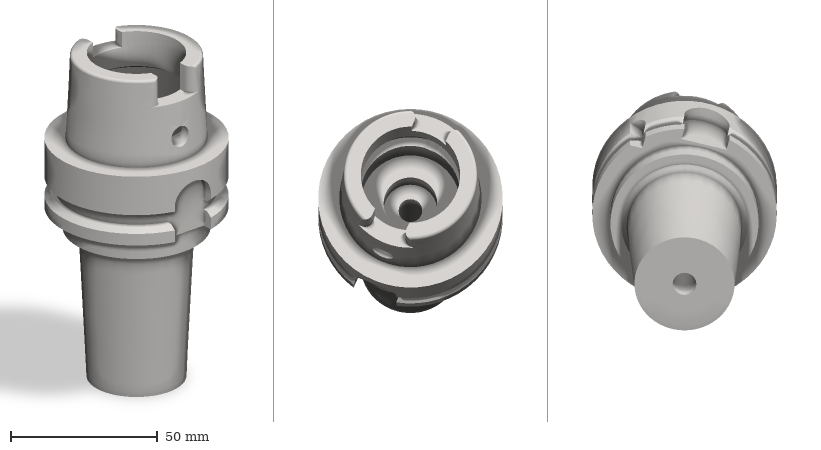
import cadquery as cq
import math

TOTAL_HEIGHT = 122.0
FLANGE_TOP = 90.0
FLANGE_BOTTOM = 64.0
GROOVE_TOP = 73.8
GROOVE_BOTTOM = 70.2
GROOVE_CHAMFER_HEIGHT = 1.7
COLLAR_BOTTOM = 56.0
NOSE_TOP = 53.8

FLANGE_RADIUS = 31.5
GROOVE_EDGE_RADIUS = 29.5
GROOVE_RADIUS = 27.6
COLLAR_RADIUS = 25.3
COLLAR_STEP_RADIUS = 21.6
NOSE_TOP_RADIUS = 19.8
NOSE_END_RADIUS = 17.1
SHANK_BASE_RADIUS = 24.3
SHANK_TAPER = 1 / 20
SHANK_TOP_RADIUS = SHANK_BASE_RADIUS - SHANK_TAPER * (TOTAL_HEIGHT - FLANGE_TOP)
SHANK_TOP_FILLET = 1.1

BORE_RADIUS = 17.0
BORE_LIP_BOTTOM = 108.8
UNDERCUT_RADIUS = 20.0
UNDERCUT_CONE_ANGLE = 30.0
UNDERCUT_CONE_HEIGHT = (UNDERCUT_RADIUS - BORE_RADIUS) * math.tan(math.radians(UNDERCUT_CONE_ANGLE))
UNDERCUT_CONE_BOTTOM = BORE_LIP_BOTTOM - UNDERCUT_CONE_HEIGHT
UNDERCUT_FLOOR = 95.9
BORE_FLOOR = 83.0
COUNTERBORE_RADIUS = 9.2
COUNTERBORE_FLOOR = 73.2
THROUGH_HOLE_RADIUS = 4.0

CROSS_HOLE_RADIUS = 3.8
CROSS_HOLE_HEIGHT = 99.1

DRIVE_SLOT_HALF_WIDTH = 6.3
DRIVE_CORNER_RADIUS = 2.7
DRIVE_SHOULDER = 20.9
LEFT_DRIVE_FLOOR = 116.1
RIGHT_DRIVE_FLOOR = 112.0

KEYWAY_RADIUS = 7.9
KEYWAY_ARC_HEIGHT = 77.2
KEYWAY_FLAT = 26.6
NOTCH_CORNER = 20.0

CLEARANCE = 36.6


def make_body():
    """Revolved outside of the holder, with a rounded shank rim."""
    outline = [
        (0, 0),
        (NOSE_END_RADIUS, 0),
        (NOSE_TOP_RADIUS, NOSE_TOP),
        (COLLAR_STEP_RADIUS, COLLAR_BOTTOM),
        (COLLAR_RADIUS, COLLAR_BOTTOM),
        (COLLAR_RADIUS, FLANGE_BOTTOM),
        (FLANGE_RADIUS, FLANGE_BOTTOM),
        (FLANGE_RADIUS, GROOVE_BOTTOM - GROOVE_CHAMFER_HEIGHT),
        (GROOVE_EDGE_RADIUS, GROOVE_BOTTOM),
        (GROOVE_RADIUS, GROOVE_BOTTOM),
        (GROOVE_RADIUS, GROOVE_TOP),
        (GROOVE_EDGE_RADIUS, GROOVE_TOP),
        (FLANGE_RADIUS, GROOVE_TOP + GROOVE_CHAMFER_HEIGHT),
        (FLANGE_RADIUS, FLANGE_TOP),
        (SHANK_BASE_RADIUS, FLANGE_TOP),
        (SHANK_TOP_RADIUS, TOTAL_HEIGHT),
        (0, TOTAL_HEIGHT),
    ]
    body = cq.Workplane("XZ").polyline(outline).close().revolve(360, (0, 0), (0, 1))
    return body.faces(">Z").edges().fillet(SHANK_TOP_FILLET)


def make_bore():
    """Stepped cavity: lip, undercut, counterbore and through hole."""
    outline = [
        (0, 0),
        (THROUGH_HOLE_RADIUS, 0),
        (THROUGH_HOLE_RADIUS, COUNTERBORE_FLOOR),
        (COUNTERBORE_RADIUS, COUNTERBORE_FLOOR),
        (COUNTERBORE_RADIUS, BORE_FLOOR),
        (BORE_RADIUS, BORE_FLOOR),
        (BORE_RADIUS, UNDERCUT_FLOOR),
        (UNDERCUT_RADIUS, UNDERCUT_FLOOR),
        (UNDERCUT_RADIUS, UNDERCUT_CONE_BOTTOM),
        (BORE_RADIUS, BORE_LIP_BOTTOM),
        (BORE_RADIUS, TOTAL_HEIGHT),
        (0, TOTAL_HEIGHT),
    ]
    return cq.Workplane("XZ").polyline(outline).close().revolve(360, (0, 0), (0, 1))


def make_cross_hole():
    """Cylinder along X through both shank walls."""
    hole = cq.Workplane("YZ").center(0, CROSS_HOLE_HEIGHT).circle(CROSS_HOLE_RADIUS)
    return hole.extrude(CLEARANCE, both=True)


def make_drive_slot(side, floor):
    """Slot in the rim on the given X side, flaring outward around rounded corners."""
    inner = DRIVE_SLOT_HALF_WIDTH
    outer = inner + DRIVE_CORNER_RADIUS
    arc_start = side * (DRIVE_SHOULDER - DRIVE_CORNER_RADIUS)
    shoulder = side * DRIVE_SHOULDER
    arc_offset = DRIVE_CORNER_RADIUS * math.sqrt(0.5)
    arc_mid = (arc_start + side * arc_offset, outer - arc_offset)
    return (
        cq.Workplane("XY", origin=(0, 0, floor))
        .moveTo(0, -inner)
        .lineTo(arc_start, -inner)
        .threePointArc((arc_mid[0], -arc_mid[1]), (shoulder, -outer))
        .lineTo(shoulder, -CLEARANCE)
        .lineTo(side * CLEARANCE, -CLEARANCE)
        .lineTo(side * CLEARANCE, CLEARANCE)
        .lineTo(shoulder, CLEARANCE)
        .lineTo(shoulder, outer)
        .threePointArc(arc_mid, (arc_start, inner))
        .lineTo(0, inner)
        .close()
        .extrude(TOTAL_HEIGHT - floor)
    )


def make_flange_slot(side, flat, center_y):
    """Round-topped slot open at the flange bottom, cut inward along X to a flat."""
    return (
        cq.Workplane("YZ", origin=(side * flat, center_y, 0))
        .moveTo(-KEYWAY_RADIUS, FLANGE_BOTTOM)
        .lineTo(KEYWAY_RADIUS, FLANGE_BOTTOM)
        .lineTo(KEYWAY_RADIUS, KEYWAY_ARC_HEIGHT)
        .threePointArc((0, KEYWAY_ARC_HEIGHT + KEYWAY_RADIUS), (-KEYWAY_RADIUS, KEYWAY_ARC_HEIGHT))
        .close()
        .extrude(side * (CLEARANCE - flat))
    )


result = make_body().cut(make_bore()).cut(make_cross_hole())

for side, drive_floor in ((-1, LEFT_DRIVE_FLOOR), (1, RIGHT_DRIVE_FLOOR)):
    result = result.cut(make_drive_slot(side, drive_floor))
    result = result.cut(make_flange_slot(side, KEYWAY_FLAT, 0))

result = result.cut(make_flange_slot(-1, NOTCH_CORNER, NOTCH_CORNER + KEYWAY_RADIUS))